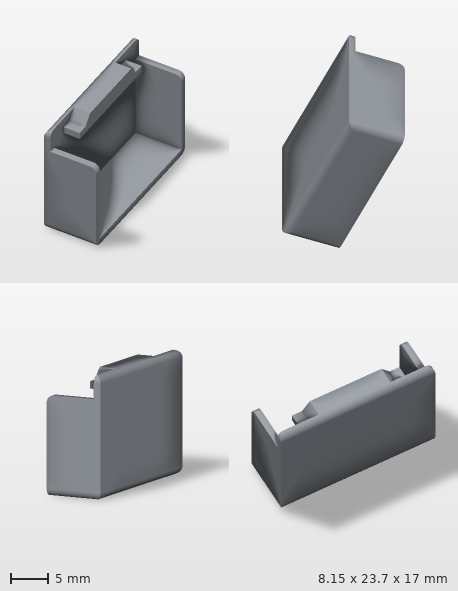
import cadquery as cq

depth = 8.15
length = 23.7
height = 17.0

wall = 1.0
edge_radius = wall
side_height = 13.77

rib_depth = 2.5
rib_height = 2.51
rib_shoulder_drop = 1.5
rib_half_length = 8.25
rib_slope_foot = 6.73
rib_slope_head = 5.5


def make_envelope():
    """Block with mitred rounds: a side profile intersected with a back profile."""
    side = (
        cq.Workplane("XY")
        .box(depth, length, height, centered=(False, True, False))
        .edges("|Y and <X")
        .fillet(edge_radius)
    )
    back = (
        cq.Workplane("XY")
        .box(depth, length, height, centered=(False, True, False))
        .edges("|X")
        .fillet(edge_radius)
    )
    return side.intersect(back)


def make_cavity():
    """Space between the side walls, open at the top and toward +X."""
    return cq.Workplane("XY").box(
        depth, length - 2 * wall, height, centered=(False, True, False)
    ).translate((wall, 0, wall))


def make_side_wall_relief():
    """Space above the side walls, whose front top corners are rounded."""
    return (
        cq.Workplane("XZ")
        .moveTo(wall, height)
        .lineTo(wall, side_height)
        .lineTo(depth - edge_radius, side_height)
        .radiusArc((depth, side_height - edge_radius), edge_radius)
        .lineTo(depth, height)
        .close()
        .extrude(length / 2, both=True)
    )


def make_rib():
    """Latch rib with a raised middle and sloped steps down to its ends."""
    bottom = height - rib_height
    shoulder = height - rib_shoulder_drop
    outline = [
        (-rib_half_length, bottom),
        (-rib_half_length, shoulder),
        (-rib_slope_foot, shoulder),
        (-rib_slope_head, height),
        (rib_slope_head, height),
        (rib_slope_foot, shoulder),
        (rib_half_length, shoulder),
        (rib_half_length, bottom),
    ]
    return cq.Workplane("YZ").workplane(offset=wall).polyline(outline).close().extrude(rib_depth)


result = make_envelope().cut(make_cavity()).cut(make_side_wall_relief()).union(make_rib())